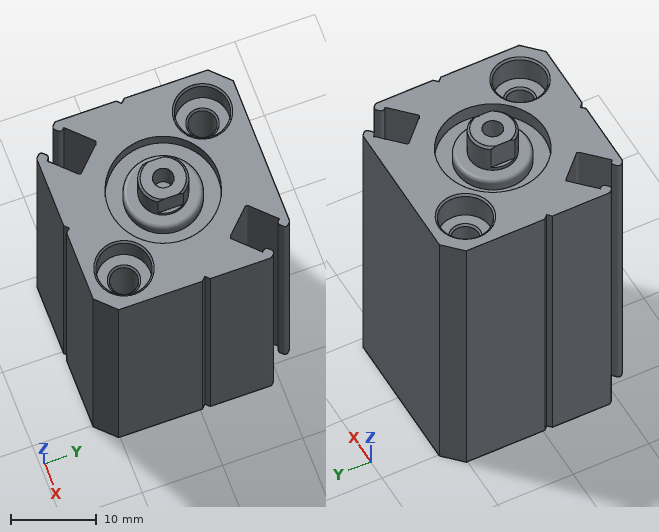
import cadquery as cq
import math

total_height = 41.5
width = 25.0
housing_height = 38.0
corner_chamfer = 2.32

slot_inner = 9.6
lip_inner = 13.85
lip_outer = 15.1
slot_width = 4.65
mouth_width = 3.3
slot_corner_radius = 0.3
lip_radius = 0.4
box_margin = 0.05
slot_angles = (45, 225)
slot_corner_chamfer = width - lip_outer * math.sqrt(2)

groove_offset = 0.75
groove_depth = 0.5
groove_angles = (0, 180, 270)

hole_offset = 7.75
hole_radius = 1.7
counterbore_radius = 3.28
counterbore_depth = 3.55
hole_chamfer = 0.25

recess_radius = 6.8
recess_depth = 2.0
recess_floor = housing_height - recess_depth
guide_radius = 4.75
guide_top = 37.5
guide_fillet = 0.5

rod_radius = 3.0
rod_chamfer = 0.3
flat_width = 5.05
flat_bottom = housing_height
thread_hole_radius = 1.25
thread_hole_depth = 4.0
rod_bottom = recess_floor


def cylinder(radius, bottom, top):
    """Upright cylinder on the central axis."""
    return cq.Workplane("XY", origin=(0, 0, bottom)).circle(radius).extrude(top - bottom)


def full_height_block(near, far, block_width):
    """Block as tall as the housing, from near to far along X and centred on Y."""
    return (
        cq.Workplane("XY")
        .center((near + far) / 2, 0)
        .rect(far - near, block_width)
        .extrude(housing_height)
    )


def slot_cutter(angle):
    """T-slot whose mouth flares around the rounded tips of the two lips."""
    pocket = (
        full_height_block(slot_inner, lip_inner, slot_width)
        .edges("|Z and <X")
        .fillet(slot_corner_radius)
    )
    mouth = full_height_block(lip_inner, lip_outer, mouth_width)
    outside = full_height_block(lip_outer, lip_outer + lip_radius, slot_width)
    cutter = pocket.union(mouth).union(outside)

    lip_tips = cq.selectors.BoxSelector(
        (slot_inner, -slot_width / 2 + box_margin, 0),
        (lip_outer + box_margin, slot_width / 2 - box_margin, housing_height),
    )
    cutter = cutter.edges("|Z").edges(lip_tips).fillet(lip_radius)
    return cutter.rotate((0, 0, 0), (0, 0, 1), angle)


def groove_cutter(angle):
    """V groove in the +X face, shifted along Y, then turned about Z."""
    face = width / 2
    return (
        cq.Workplane("XY")
        .polyline([
            (face, groove_offset - groove_depth),
            (face - groove_depth, groove_offset),
            (face, groove_offset + groove_depth),
        ])
        .close()
        .extrude(housing_height)
        .rotate((0, 0, 0), (0, 0, 1), angle)
    )


def mounting_hole_cutter(x, y):
    """Through hole and counterbore, each with a chamfered rim."""
    counterbore_floor = housing_height - counterbore_depth
    profile = [
        (0, 0),
        (hole_radius, 0),
        (hole_radius, counterbore_floor - hole_chamfer),
        (hole_radius + hole_chamfer, counterbore_floor),
        (counterbore_radius, counterbore_floor),
        (counterbore_radius, housing_height - hole_chamfer),
        (counterbore_radius + hole_chamfer, housing_height),
        (0, housing_height),
    ]
    hole = cq.Workplane("XZ").polyline(profile).close().revolve(360, (0, 0), (0, 1))
    return hole.translate((x, y, 0))


def make_housing():
    body = cq.Workplane("XY").rect(width, width).extrude(housing_height)
    body = body.edges("|Z and (<(1, -1, 0) or >(1, -1, 0))").chamfer(corner_chamfer)
    body = body.edges("|Z and (<(1, 1, 0) or >(1, 1, 0))").chamfer(slot_corner_chamfer)
    body = body.edges("|Z and (<(1, 1, 0) or >(1, 1, 0))").fillet(lip_radius)

    for angle in slot_angles:
        body = body.cut(slot_cutter(angle))

    for angle in groove_angles:
        body = body.cut(groove_cutter(angle))

    for side in (-1, 1):
        body = body.cut(mounting_hole_cutter(side * hole_offset, -side * hole_offset))

    guide = cylinder(guide_radius, recess_floor, guide_top).edges(">Z").fillet(guide_fillet)
    body = body.cut(cylinder(recess_radius, recess_floor, housing_height)).union(guide)
    return body.cut(cylinder(rod_radius, rod_bottom, guide_top))


def make_piston_rod():
    rod = cylinder(rod_radius, rod_bottom, total_height).edges(">Z").chamfer(rod_chamfer)
    flat_height = total_height - flat_bottom
    for side in (-1, 1):
        waste = (
            cq.Workplane("XY", origin=(side * (flat_width / 2 + rod_radius), 0, flat_bottom))
            .rect(2 * rod_radius, 2 * rod_radius)
            .extrude(flat_height)
        )
        rod = rod.cut(waste)
    return rod.cut(cylinder(thread_hole_radius, total_height - thread_hole_depth, total_height))


housing = make_housing()
piston_rod = make_piston_rod()
result = cq.Compound.makeCompound([housing.val(), piston_rod.val()])